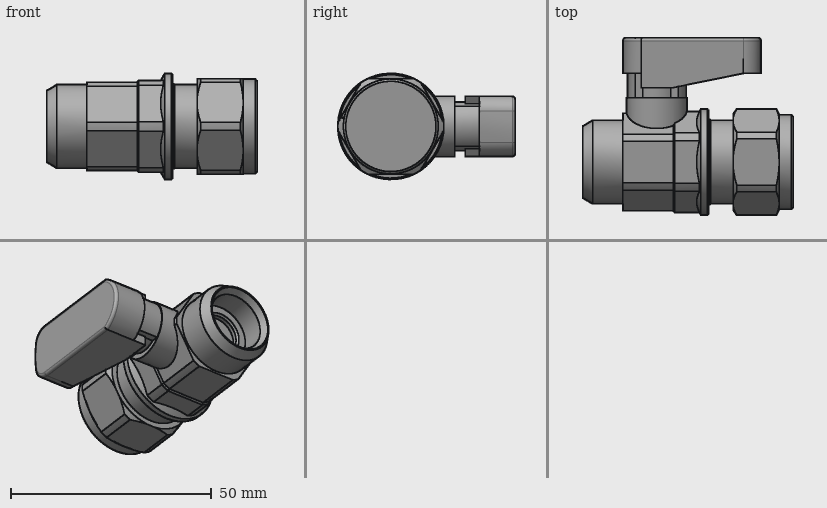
import cadquery as cq
import math


length = 52.6
nose_chamfer_length = 2.6
rear_hex_start = 10.05
front_hex_start = 22.6
cone_start = 28.45
flange_start = 29.5
flange_end = 31.45
collar_end = 32.0
nut_start = 37.55

tube_radius = 10.45
nose_radius = 8.95
flange_radius = 13.25
flange_chamfer = 0.35
collar_radius = 10.6
collar_chamfer = 0.2

front_hex_apothem = 11.45
front_hex_corner_radius = 12.6
hex_step = 0.4
rear_hex_apothem = front_hex_apothem - hex_step
rear_hex_corner_radius = front_hex_corner_radius - hex_step

bore_mouth_radius = 8.65
bore_radius = 7.6
bore_mouth_depth = 1.8
bore_depth = 8.05
port_mouth_radius = 5.65
port_radius = 5.1
port_chamfer = port_mouth_radius - port_radius
port_depth = 1.7

nut_hex_end = 49.1
nut_apothem = 11.95
nut_corner_radius = 13.25
nut_face_radius = 12.0
nut_rear_chamfer = 0.9
nut_front_chamfer = 0.75
nut_sleeve_radius = 11.85
nut_sleeve_chamfer = 0.6

stem_x = 18.5
stem_radius = 7.6
stem_top = 16.0

handle_top = 31.05
handle_rim = 22.1
cheek_bottom = 18.5
pocket_ceiling = 25.6
handle_half_width = 7.5
cheek_thickness = 2.5
handle_back_radius = 8.45
handle_end_radius = 26.05
handle_corner_radius = 4.2
handle_top_fillet = 0.8
pocket_wall = 1.9
pocket_corner_radius = handle_corner_radius - pocket_wall
pocket_rim_fillet = 0.7
cheek_slope_start = 22.45
cheek_slope_end = 40.15
boss_radius = 7.35
post_radius = 6.1


def turned(profile):
    """Solid of revolution about the X axis from (x, radius) points."""
    return cq.Workplane("XY").polyline(profile).close().revolve(360, (0, 0, 0), (1, 0, 0))


def hex_prism(start, end, apothem):
    """Hexagonal prism along X with two flats facing +Z and -Z."""
    plane = cq.Workplane("YZ", origin=(start, 0, 0))
    across_corners = 2 * apothem / math.cos(math.radians(30))
    return plane.polygon(6, across_corners).extrude(end - start)


def stem_cylinder(radius, bottom, top):
    """Cylinder on the stem axis between two Y levels."""
    plane = cq.Workplane("XZ", origin=(stem_x, top, 0))
    return plane.circle(radius).extrude(top - bottom)


def trimmed_hex(start, end, apothem, corner_radius, start_chamfer=0.0):
    """Hexagonal prism whose corners are turned down to corner_radius."""
    prism = hex_prism(start, end, apothem)
    blank = turned([(start, 0), (start, corner_radius), (end, corner_radius), (end, 0)])
    prism = prism.intersect(blank)
    if start_chamfer:
        prism = prism.faces("<X").chamfer(start_chamfer)
    return prism


def make_body():
    tube = turned([
        (0, 0),
        (0, nose_radius),
        (nose_chamfer_length, tube_radius),
        (cone_start, tube_radius),
        (cone_start, front_hex_apothem),
        (flange_start, flange_radius),
        (flange_end - flange_chamfer, flange_radius),
        (flange_end, flange_radius - flange_chamfer),
        (flange_end, collar_radius),
        (collar_end - collar_chamfer, collar_radius),
        (collar_end, tube_radius),
        (nut_start, tube_radius),
        (nut_start, 0),
    ])
    rear_hex = trimmed_hex(rear_hex_start, front_hex_start, rear_hex_apothem, rear_hex_corner_radius)
    front_hex = trimmed_hex(
        front_hex_start, flange_start, front_hex_apothem, front_hex_corner_radius, hex_step
    )
    socket = stem_cylinder(stem_radius, 0, stem_top)
    port_start = bore_depth + port_chamfer
    port_end = bore_depth + port_depth
    bore = turned([
        (0, 0),
        (0, bore_mouth_radius),
        (bore_mouth_depth, bore_radius),
        (bore_depth, bore_radius),
        (bore_depth, port_mouth_radius),
        (port_start, port_radius),
        (port_end, port_radius),
        (port_end, 0),
    ])
    return tube.union(rear_hex).union(front_hex).union(socket).cut(bore)


def make_nut():
    blank = turned([
        (nut_start, 0),
        (nut_start, nut_face_radius),
        (nut_start + nut_rear_chamfer, nut_corner_radius),
        (nut_hex_end - nut_front_chamfer, nut_corner_radius),
        (nut_hex_end, nut_sleeve_radius),
        (length - nut_sleeve_chamfer, nut_sleeve_radius),
        (length, nut_sleeve_radius - nut_sleeve_chamfer),
        (length, 0),
    ])
    return blank.intersect(hex_prism(nut_start, length, nut_apothem))


def lever_block(bottom, top, half_width, back_radius, end_radius, corner_radius):
    """Straight-sided block whose back and far end are arcs centred on the stem axis."""
    back_x = stem_x - math.sqrt(back_radius**2 - half_width**2)
    end_x = stem_x + math.sqrt(end_radius**2 - half_width**2)
    block = (
        cq.Workplane("XZ", origin=(0, top, 0))
        .moveTo(back_x, half_width)
        .lineTo(end_x, half_width)
        .threePointArc((stem_x + end_radius, 0), (end_x, -half_width))
        .lineTo(back_x, -half_width)
        .threePointArc((stem_x - back_radius, 0), (back_x, half_width))
        .close()
        .extrude(top - bottom)
    )
    far_corners = cq.selectors.BoxSelector(
        (stem_x + end_radius / 2, bottom, -half_width - 0.5), (stem_x + end_radius, top, half_width + 0.5)
    )
    return block.edges("|Y").edges(far_corners).fillet(corner_radius)


def make_handle():
    lever = lever_block(
        handle_rim, handle_top, handle_half_width,
        handle_back_radius, handle_end_radius, handle_corner_radius,
    )
    lever = lever.faces(">Y").edges().fillet(handle_top_fillet)

    pocket_half_width = handle_half_width - pocket_wall
    pocket = lever_block(
        cheek_bottom, pocket_ceiling, pocket_half_width,
        pocket_half_width, handle_end_radius - pocket_wall, pocket_corner_radius,
    )
    lever = lever.cut(pocket)
    lever = lever.faces("<Y").wires(cq.selectors.LengthNthSelector(0)).fillet(pocket_rim_fillet)

    flat_distance = handle_half_width - cheek_thickness

    cheek_start = stem_x - math.sqrt(handle_back_radius**2 - handle_half_width**2)
    for inner_z in (flat_distance, -handle_half_width):
        cheek = (
            cq.Workplane("XY", origin=(0, 0, inner_z))
            .moveTo(cheek_start, pocket_ceiling)
            .lineTo(cheek_start, cheek_bottom)
            .lineTo(cheek_slope_start, cheek_bottom)
            .lineTo(cheek_slope_end, handle_rim)
            .lineTo(cheek_slope_end, pocket_ceiling)
            .close()
            .extrude(cheek_thickness)
        )
        lever = lever.union(cheek.cut(pocket))

    flats = cq.Workplane("XY").box(4 * boss_radius, 4 * handle_top, 2 * flat_distance)
    flats = flats.translate((stem_x, 0, 0))
    boss = stem_cylinder(boss_radius, stem_top, pocket_ceiling).intersect(flats)
    post = stem_cylinder(post_radius, stem_top, pocket_ceiling)
    return lever.union(boss).union(post)


body = make_body()
nut = make_nut()
handle = make_handle()

result = cq.Compound.makeCompound([body.val(), nut.val(), handle.val()])